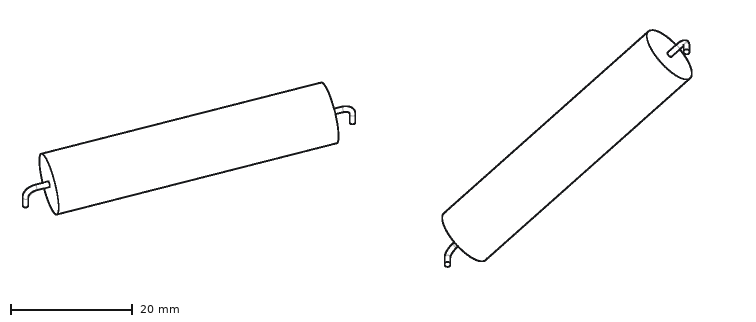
import cadquery as cq

overall_length = 57.4
body_diameter = 10.35
body_length = 48.35

wire_diameter = 1.0
bend_radius = 1.8
tip_drop = 4.0

wire_radius = wire_diameter / 2
body_end = body_length / 2
leg_position = overall_length / 2 - wire_radius
bend_start = leg_position - bend_radius


def make_body():
    """Plain cylinder centred on the origin, with its axis along Y."""
    return cq.Workplane("XZ", origin=(0, body_end, 0)).circle(body_diameter / 2).extrude(body_length)


def make_lead(side):
    """Round wire leaving one end face along the axis and bending down; side is -1 or 1."""
    bend = (
        cq.Workplane("YZ")
        .moveTo(side * body_end, 0)
        .lineTo(side * bend_start, 0)
        .tangentArcPoint((side * leg_position, -bend_radius), relative=False)
        .lineTo(side * leg_position, -tip_drop)
    )
    return cq.Workplane("XZ", origin=(0, side * body_end, 0)).circle(wire_radius).sweep(bend)


body = make_body()
leads = [make_lead(side) for side in (-1, 1)]

result = cq.Compound.makeCompound([body.val(), *[lead.val() for lead in leads]])